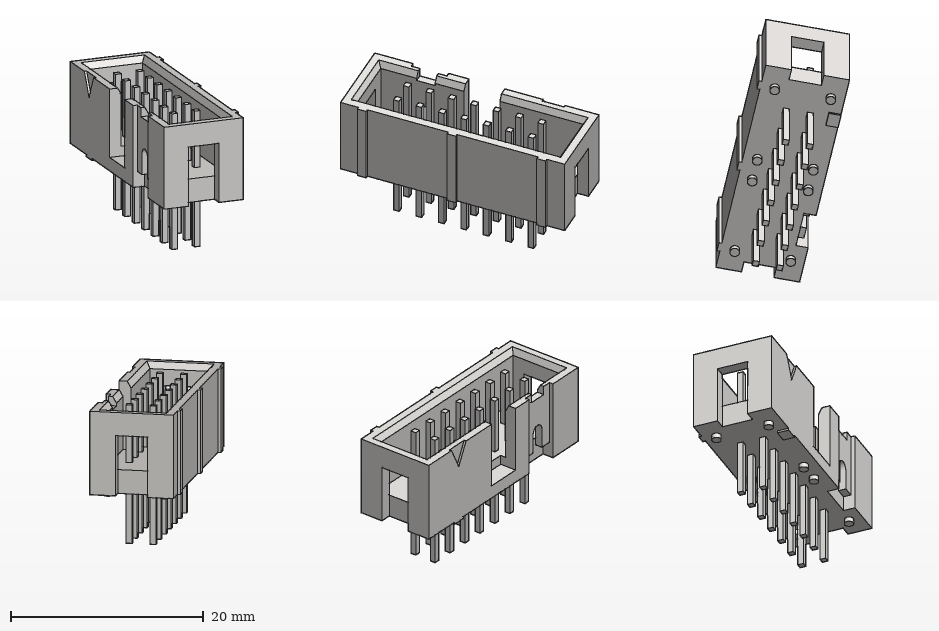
import cadquery as cq

length = 25.4
width = 8.9
height = 8.9
pitch = 2.55
contacts_per_row = 7

end_wall = 1.25
side_wall = 1.3
floor_height = 2.55
lead_in_depth = 0.7
lead_in_inset = 0.4

pin_size = 0.64
pin_setback = 0.23
pin_top = height - pin_setback
pin_bottom = -6.07

key_width = 4.06
key_depth = 1.95
key_bottom = 1.47

recess_x = 2.5 * pitch
recess_width = 4.05
recess_depth = 0.45
undercut_height = 1.7
arch_width = 1.47
arch_top = 4.67
notch_width = 2.08
notch_depth = 1.0

window_width = 3.43
window_top = 6.43

mark_width = 2.5
mark_height = 2.5
mark_depth = 0.25
tab_width = 1.52
tab_depth = side_wall
tab_height = 0.23

rib_width = 1.02
rib_depth = 0.3
rib_spacing = 4 * pitch

foot_diameter = 1.0
foot_height = 0.53
foot_outer_x = 4 * pitch
foot_inner_x = 1.3
foot_y = 2.97

front = -width / 2
back = width / 2
inner_front = front + side_wall
first_contact_x = -pitch * (contacts_per_row - 1) / 2


def block(x_range, y_range, z_range):
    """Axis-aligned box between the given limits."""
    size = [high - low for low, high in (x_range, y_range, z_range)]
    corner = (x_range[0], y_range[0], z_range[0])
    return cq.Workplane("XY").box(*size, centered=False).translate(corner)


def centred(middle, size):
    """Limits of a span of the given size about its middle."""
    return (middle - size / 2, middle + size / 2)


def front_plane():
    """Workplane on the front face; a negative extrusion goes into the housing."""
    return cq.Workplane("XZ", origin=(0, front, 0))


def make_cavity():
    inner_x = length - 2 * end_wall
    inner_y = width - 2 * side_wall
    straight = block(centred(0, inner_x), centred(0, inner_y), (floor_height, height))
    lead_in = (
        cq.Workplane("XY", origin=(0, 0, height - lead_in_depth))
        .rect(inner_x, inner_y)
        .workplane(offset=lead_in_depth)
        .rect(inner_x + 2 * lead_in_inset, inner_y + 2 * lead_in_inset)
        .loft(ruled=True)
    )
    return straight.union(lead_in)


def make_key_slot():
    return block(centred(0, key_width), (front, front + key_depth), (key_bottom, height))


def make_latch_cuts():
    span = centred(recess_x, recess_width)
    recess = block(span, (front, front + recess_depth), (0, height))
    undercut = block(span, (front, inner_front), (0, undercut_height))
    arch_radius = arch_width / 2
    arch_shoulder = arch_top - arch_radius
    arch = (
        front_plane()
        .moveTo(recess_x - arch_radius, 0)
        .lineTo(recess_x - arch_radius, arch_shoulder)
        .threePointArc((recess_x, arch_top), (recess_x + arch_radius, arch_shoulder))
        .lineTo(recess_x + arch_radius, 0)
        .close()
        .extrude(-side_wall)
    )
    notch = block(
        centred(recess_x, notch_width), (front, inner_front), (height - notch_depth, height)
    )
    return recess.union(undercut).union(arch).union(notch)


def make_end_window(side):
    outer = side * length / 2
    inner = outer - side * end_wall
    x_range = (min(outer, inner), max(outer, inner))
    return block(x_range, centred(0, window_width), (0, window_top))


def make_first_contact_mark():
    return (
        front_plane()
        .moveTo(first_contact_x - mark_width / 2, height)
        .lineTo(first_contact_x + mark_width / 2, height)
        .lineTo(first_contact_x, height - mark_height)
        .close()
        .extrude(-mark_depth)
    )


def make_housing():
    body = block(centred(0, length), centred(0, width), (0, height))
    body = body.cut(make_cavity()).cut(make_key_slot()).cut(make_latch_cuts())
    for side in (-1, 1):
        body = body.cut(make_end_window(side))
    return body.cut(make_first_contact_mark())


def add_back_ribs(body):
    for x in (-rib_spacing, 0, rib_spacing):
        body = body.union(block(centred(x, rib_width), (back, back + rib_depth), (0, height)))
    return body


def add_underside(body):
    tab = block(
        centred(first_contact_x, tab_width), (front, front + tab_depth), (-tab_height, 0)
    )
    feet = (
        cq.Workplane("XY")
        .pushPoints([
            (x, y)
            for x in (-foot_outer_x, -foot_inner_x, foot_inner_x, foot_outer_x)
            for y in (-foot_y, foot_y)
        ])
        .circle(foot_diameter / 2)
        .extrude(-foot_height)
    )
    return body.union(tab).union(feet)


def add_pins(body):
    pins = (
        cq.Workplane("XY", origin=(0, 0, pin_bottom))
        .rarray(pitch, pitch, contacts_per_row, 2)
        .rect(pin_size, pin_size)
        .extrude(pin_top - pin_bottom)
    )
    return body.union(pins)


result = add_pins(add_underside(add_back_ribs(make_housing())))